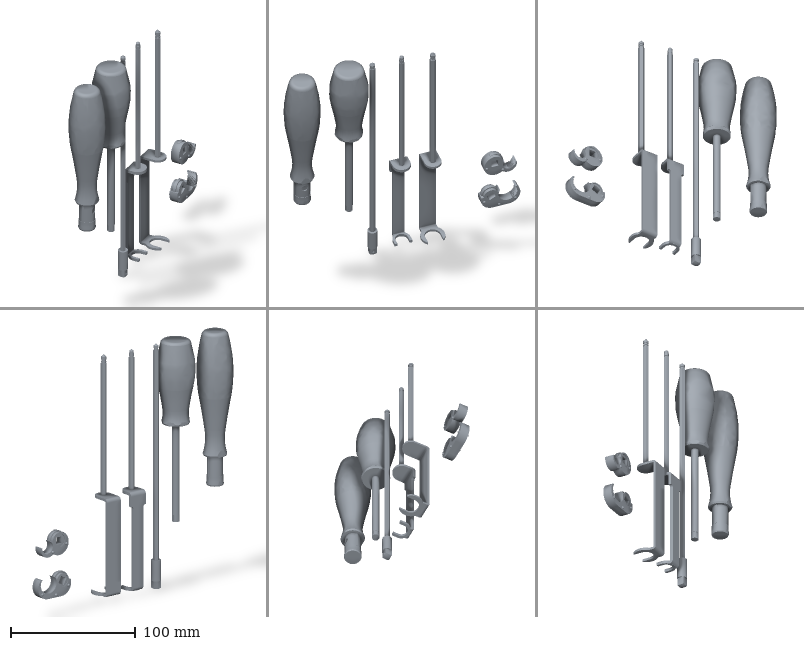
import cadquery as cq
import math

SET_HEIGHT = 205.0

LONG_DRIVER_Y = 0.0
SHORT_DRIVER_Y = 40.0
SQUARE_KEY_Y = 60.0
NARROW_BRACKET_Y = 85.0
WIDE_BRACKET_Y = 110.0

GROOVE_DIAMETER = 3.5
NOSE_TOP_RADIUS = 0.5

HOOK_LEFT_X = -9.0
HOOK_WIDTH = 7.5
HOOK_MID_X = HOOK_LEFT_X + HOOK_WIDTH / 2
SQUARE_HOLE = 6.0
COUNTERBORE_DEPTH = 0.5
STUD_RADIUS = 1.25
STUD_INSET = 0.25
TOOTH_PITCH = 0.6
TOOTH_DEPTH = 0.5
RIB_WIDTH = 2.5


def cylinder(radius, bottom, top):
    return cq.Workplane("XY").workplane(offset=bottom).circle(radius).extrude(top - bottom)


def make_handle(end_radius, rim, belly, shoulder, middle, waist, neck, lip, foot):
    """Revolved handle; every argument after the first is a (radius, height) point of the profile."""
    return (
        cq.Workplane("XZ")
        .moveTo(0, SET_HEIGHT)
        .lineTo(end_radius, SET_HEIGHT)
        .tangentArcPoint(rim, relative=False)
        .threePointArc(belly, shoulder)
        .threePointArc(middle, waist)
        .threePointArc(neck, lip)
        .lineTo(*foot)
        .lineTo(0, foot[1])
        .close()
        .revolve(360, (0, 0, 0), (0, 1, 0))
    )


def cut_side_flats(body, distance, bottom, top, count):
    """Cut equally spaced flats, the first facing -X, at a distance from the axis."""
    reach = 2 * distance
    for index in range(count):
        cutter = (
            cq.Workplane("XY")
            .box(distance, reach, top - bottom, centered=(False, True, False))
            .translate((distance, 0, bottom))
            .rotate((0, 0, 0), (0, 0, 1), 180 + index * 360 / count)
        )
        body = body.cut(cutter)
    return body


LONG_FOOT_Z = 101.0
LONG_FLAT_TOP_Z = 109.0
LONG_FLAT_DISTANCE = 8.75
SHAFT_RADIUS = 6.5
RIB_OUTER_RADIUS = 7.0
SHAFT_RIB_WIDTH = 1.9
RING_TOP_Z = 84.3
RING_BOTTOM_Z = 76.2
RING_RADIUS = 6.8
RING_LIP_RADIUS = 7.1
RING_FLARE_RADIUS = 6.83
RING_FLARE_Z = 80.8
RING_LIP_Z = 77.4
RING_FOOT_RADIUS = 6.6
RING_FLAT_DISTANCE = 6.8
DIMPLE_DIAMETER = 5.5
DIMPLE_Z = 93.9
DIMPLE_DEPTH = 1.0


def make_long_driver():
    handle = make_handle(
        end_radius=7.2,
        rim=(10.7, 202.3),
        belly=(14.845, 172.0),
        shoulder=(13.2, 151.1),
        middle=(10.7, 137.0),
        waist=(8.6, 123.3),
        neck=(7.95, 113.0),
        lip=(9.85, 102.4),
        foot=(9.2, LONG_FOOT_Z),
    )
    handle = cut_side_flats(handle, LONG_FLAT_DISTANCE, LONG_FOOT_Z, LONG_FLAT_TOP_Z, 2)
    shaft = cylinder(SHAFT_RADIUS, RING_TOP_Z, LONG_FOOT_Z)
    dimple = (
        cq.Workplane("YZ")
        .workplane(offset=SHAFT_RADIUS - DIMPLE_DEPTH)
        .center(0, DIMPLE_Z)
        .circle(DIMPLE_DIAMETER / 2)
        .extrude(2 * DIMPLE_DEPTH)
    )
    rib_slab = cq.Workplane("XY").box(SHAFT_RIB_WIDTH, 2 * RIB_OUTER_RADIUS, SET_HEIGHT)
    rib_slab = rib_slab.translate((0, 0, SET_HEIGHT / 2))
    ribs = cylinder(RIB_OUTER_RADIUS, RING_TOP_Z, LONG_FOOT_Z).intersect(rib_slab)
    ring = (
        cq.Workplane("XZ")
        .moveTo(0, RING_TOP_Z)
        .lineTo(RING_RADIUS, RING_TOP_Z)
        .threePointArc((RING_FLARE_RADIUS, RING_FLARE_Z), (RING_LIP_RADIUS, RING_LIP_Z))
        .lineTo(RING_FOOT_RADIUS, RING_BOTTOM_Z)
        .lineTo(0, RING_BOTTOM_Z)
        .close()
        .revolve(360, (0, 0, 0), (0, 1, 0))
    )
    ring = cut_side_flats(ring, RING_FLAT_DISTANCE, RING_BOTTOM_Z, RING_FLARE_Z, 2)
    driver = handle.union(shaft.cut(dimple)).union(ribs).union(ring)
    return driver.translate((0, LONG_DRIVER_Y, 0))


SHORT_FOOT_Z = 135.0
SHORT_FLAT_TOP_Z = 138.3
SHORT_FLAT_DISTANCE = 10.9
BLADE_DIAMETER = 6.2
BLADE_BOTTOM_Z = 53.0
TIP_TOP_Z = 58.6
TIP_DIAMETER = 6.0
TIP_GROOVES = 8
TIP_GROOVE_WIDTH = 0.7
TIP_GROOVE_DEPTH = 0.5
TIP_BAND = 0.9


def make_short_driver():
    handle = make_handle(
        end_radius=9.2,
        rim=(12.25, 203.0),
        belly=(15.925, 181.0),
        shoulder=(14.2, 166.0),
        middle=(12.3, 156.7),
        waist=(10.8, 147.4),
        neck=(10.5, 142.5),
        lip=(11.7, 136.5),
        foot=(10.8, SHORT_FOOT_Z),
    )
    handle = cut_side_flats(handle, SHORT_FLAT_DISTANCE, SHORT_FOOT_Z, SHORT_FLAT_TOP_Z, 6)
    blade = cylinder(BLADE_DIAMETER / 2, TIP_TOP_Z, SHORT_FOOT_Z)
    tip = cylinder(TIP_DIAMETER / 2, BLADE_BOTTOM_Z, TIP_TOP_Z)
    groove_bottom = BLADE_BOTTOM_Z + TIP_BAND
    groove_inner = TIP_DIAMETER / 2 - TIP_GROOVE_DEPTH
    for index in range(TIP_GROOVES):
        groove = (
            cq.Workplane("XY")
            .box(TIP_DIAMETER, TIP_GROOVE_WIDTH, TIP_TOP_Z - groove_bottom, centered=(False, True, False))
            .translate((groove_inner, 0, groove_bottom))
            .rotate((0, 0, 0), (0, 0, 1), (index + 0.5) * 360 / TIP_GROOVES)
        )
        tip = tip.cut(groove)
    return handle.union(blade).union(tip).translate((0, SHORT_DRIVER_Y, 0))


def make_hex_rod(across_flats, bottom, hex_top, collars, cone_base, top):
    """Hexagon below a thin stem that carries round collars, (bottom, top) heights, and a cone."""
    hexagon = (
        cq.Workplane("XY")
        .workplane(offset=bottom)
        .polygon(6, across_flats / math.cos(math.pi / 6))
        .extrude(hex_top - bottom)
    )
    rod = hexagon.union(cylinder(GROOVE_DIAMETER / 2, hex_top, cone_base))
    for collar_bottom, collar_top in collars:
        rod = rod.union(cylinder(across_flats / 2, collar_bottom, collar_top))
    cone = (
        cq.Workplane("XY")
        .workplane(offset=cone_base)
        .circle(GROOVE_DIAMETER / 2)
        .workplane(offset=top - cone_base)
        .circle(NOSE_TOP_RADIUS)
        .loft()
    )
    return rod.union(cone)


KEY_ACROSS_FLATS = 4.3
SLEEVE_DIAMETER = 8.0
SLEEVE_TOP_Z = 24.4
SLEEVE_BOTTOM_Z = 7.2
DRIVE_SIDE = 5.6
DRIVE_DOME_RADIUS = 8.0
DETENT_RADIUS = 1.3
DETENT_OFFSET = 2.1
DETENT_Z = 2.5


def make_square_key():
    rod = make_hex_rod(
        KEY_ACROSS_FLATS, SLEEVE_TOP_Z, hex_top=199.8,
        collars=[(201.7, 203.6)], cone_base=203.6, top=SET_HEIGHT,
    )
    sleeve = cylinder(SLEEVE_DIAMETER / 2, SLEEVE_BOTTOM_Z, SLEEVE_TOP_Z)
    drive = cq.Workplane("XY").rect(DRIVE_SIDE, DRIVE_SIDE).extrude(SLEEVE_BOTTOM_Z)
    dome = cq.Workplane("XZ").sphere(DRIVE_DOME_RADIUS).translate((0, 0, DRIVE_DOME_RADIUS))
    detent = cq.Workplane("YZ").sphere(DETENT_RADIUS).translate((DETENT_OFFSET, 0, DETENT_Z))
    key = rod.union(sleeve).union(drive.intersect(dome)).union(detent)
    return key.translate((0, SQUARE_KEY_Y, 0))


STRAP_LEFT_X = -9.0
FOOT_BOTTOM_Z = 5.1


def make_strap(width, thickness, top_z, bend_radius, tab_round, tab_end):
    """Upright strap with a round-ended tab bent over at the top and a short bent stub at the bottom."""
    height = top_z - FOOT_BOTTOM_Z
    length = tab_end - STRAP_LEFT_X
    bent = (
        cq.Workplane("XY")
        .box(length, width, height, centered=(False, True, False))
        .edges("|Y and <X")
        .fillet(bend_radius)
    )
    inside = (
        cq.Workplane("XY")
        .box(length, width, height - 2 * thickness, centered=(False, True, False))
        .edges("|Y and <X")
        .fillet(bend_radius - thickness)
        .translate((thickness, 0, thickness))
    )
    strap = bent.cut(inside).translate((STRAP_LEFT_X, 0, FOOT_BOTTOM_Z))
    tab_plan = (
        cq.Workplane("XY")
        .box(length - tab_round, width, 2 * SET_HEIGHT, centered=(False, True, True))
        .translate((STRAP_LEFT_X, 0, 0))
        .union(cylinder(tab_round, -SET_HEIGHT, SET_HEIGHT).translate((tab_end - tab_round, 0, 0)))
    )
    return strap.intersect(tab_plan)


def make_u_plan(radius, centre_x, end_x, thickness):
    """Plate with a round back about centre_x and straight sides running to end_x."""
    plate = cylinder(radius, FOOT_BOTTOM_Z, FOOT_BOTTOM_Z + thickness).translate((centre_x, 0, 0))
    sides = (
        cq.Workplane("XY")
        .box(end_x - centre_x, 2 * radius, thickness, centered=(False, True, False))
        .translate((centre_x, 0, FOOT_BOTTOM_Z))
    )
    trim = (
        cq.Workplane("XY")
        .box(2 * radius, 2 * radius, thickness, centered=(False, True, False))
        .translate((end_x, 0, FOOT_BOTTOM_Z))
    )
    return plate.union(sides).cut(trim)


NARROW_HEAD_WIDTH = 15.0
NARROW_STRAP_WIDTH = 10.0
NARROW_THICKNESS = 2.5
NARROW_TOP_Z = 88.0
NARROW_BEND = 3.0
NARROW_TAB_END = 7.1
NARROW_SHOULDER_Z = 76.2
NARROW_SHOULDER_FILLET = 1.8
NARROW_FOOT_END = 4.6
NARROW_OPENING_RADIUS = 10.5 / 2
NARROW_ACROSS_FLATS = 4.0


def make_narrow_bracket():
    strap = make_strap(
        NARROW_HEAD_WIDTH, NARROW_THICKNESS, NARROW_TOP_Z, NARROW_BEND, NARROW_HEAD_WIDTH / 2, NARROW_TAB_END
    )
    half_head = NARROW_HEAD_WIDTH / 2
    half_strap = NARROW_STRAP_WIDTH / 2
    margin = (half_head - half_strap) / 2
    reach = NARROW_TAB_END - STRAP_LEFT_X
    strap_outline = (
        cq.Workplane("YZ")
        .workplane(offset=STRAP_LEFT_X)
        .rect(NARROW_STRAP_WIDTH, 2 * NARROW_SHOULDER_Z)
        .extrude(reach)
    )
    head_outline = (
        cq.Workplane("YZ")
        .workplane(offset=STRAP_LEFT_X)
        .center(0, NARROW_SHOULDER_Z + half_head)
        .rect(NARROW_HEAD_WIDTH, NARROW_HEAD_WIDTH)
        .extrude(reach)
    )
    shoulder_corners = cq.selectors.BoxSelector(
        (STRAP_LEFT_X, -half_strap - margin, NARROW_SHOULDER_Z - margin),
        (NARROW_TAB_END, half_strap + margin, NARROW_SHOULDER_Z + margin),
    )
    outline = strap_outline.union(head_outline)
    outline = outline.edges("|X").edges(shoulder_corners).fillet(NARROW_SHOULDER_FILLET)
    strap = strap.intersect(outline)
    foot = make_u_plan(half_head, 0, NARROW_FOOT_END, NARROW_THICKNESS)
    opening = make_u_plan(NARROW_OPENING_RADIUS, 0, NARROW_TAB_END, NARROW_THICKNESS)
    rod = make_hex_rod(
        NARROW_ACROSS_FLATS, NARROW_TOP_Z, hex_top=198.5,
        collars=[(199.7, 201.9)], cone_base=203.8, top=SET_HEIGHT,
    )
    bracket = strap.union(foot).cut(opening).union(rod)
    return bracket.translate((0, NARROW_BRACKET_Y, 0))


WIDE_WIDTH = 14.0
WIDE_THICKNESS = 2.0
WIDE_TOP_Z = 87.0
WIDE_BEND = 2.7
WIDE_ROD_X = 4.3
WIDE_TAB_END = WIDE_ROD_X + WIDE_WIDTH / 2
WIDE_FOOT_RADIUS = 10.1
WIDE_OPENING_RADIUS = 6.5
WIDE_ACROSS_FLATS = 4.3


def make_wide_bracket():
    strap = make_strap(
        WIDE_WIDTH, WIDE_THICKNESS, WIDE_TOP_Z, WIDE_BEND, WIDE_WIDTH / 2, WIDE_TAB_END
    )
    foot = cylinder(WIDE_FOOT_RADIUS, FOOT_BOTTOM_Z, FOOT_BOTTOM_Z + WIDE_THICKNESS)
    foot = foot.translate((WIDE_ROD_X, 0, 0))
    foot_limit = cq.Workplane("XY").box(2 * WIDE_TAB_END, 2 * SET_HEIGHT, 2 * SET_HEIGHT)
    foot = foot.intersect(foot_limit)
    opening_end = WIDE_ROD_X + WIDE_FOOT_RADIUS
    opening = make_u_plan(WIDE_OPENING_RADIUS, WIDE_ROD_X, opening_end, WIDE_THICKNESS)
    rod = make_hex_rod(
        WIDE_ACROSS_FLATS, WIDE_TOP_Z, hex_top=197.3,
        collars=[(198.3, 198.7), (200.3, 202.5)], cone_base=202.5, top=204.3,
    )
    bracket = strap.union(foot).cut(opening).union(rod.translate((WIDE_ROD_X, 0, 0)))
    return bracket.translate((0, WIDE_BRACKET_Y, 0))


def hook_disc(centre, radius, left_x, width):
    return cq.Workplane("YZ").workplane(offset=left_x).center(*centre).circle(radius).extrude(width)


def hook_block(corner, opposite, left_x=HOOK_LEFT_X, width=HOOK_WIDTH):
    size_y = opposite[0] - corner[0]
    size_z = opposite[1] - corner[1]
    block = cq.Workplane("XY").box(width, size_y, size_z, centered=False)
    return block.translate((left_x, corner[0], corner[1]))


def cut_throat(hook, centre, radius, start_angle, end_angle):
    """Open the round throat, then notch pointed teeth into the jaw between two angles."""
    hook = hook.cut(hook_disc(centre, radius, HOOK_LEFT_X, HOOK_WIDTH))
    arc_length = math.radians(end_angle - start_angle) * radius
    count = round(arc_length / TOOTH_PITCH)
    step = (end_angle - start_angle) / count
    notch_outline = [
        (radius - TOOTH_DEPTH, -TOOTH_PITCH / 2),
        (radius, -TOOTH_PITCH / 2),
        (radius + TOOTH_DEPTH, 0),
        (radius, TOOTH_PITCH / 2),
        (radius - TOOTH_DEPTH, TOOTH_PITCH / 2),
    ]
    for index in range(count):
        notch = (
            cq.Workplane("YZ")
            .workplane(offset=HOOK_LEFT_X)
            .polyline(notch_outline)
            .close()
            .extrude(HOOK_WIDTH)
            .rotate((0, 0, 0), (1, 0, 0), start_angle + (index + 0.5) * step)
            .translate((0, *centre))
        )
        hook = hook.cut(notch)
    return hook


def make_hook(
    head, head_radius, arm, arm_radius, throat, throat_radius, teeth_from, teeth_to, tip_z,
    hole, hole_angle, counterbore, relief_radius, rib_radius, rib_end_y, relief_end, studs, web_bottom,
):
    """Claw in the YZ plane; points are (Y, Z) and the head is relieved around the hole beside the rib."""
    arm_body = hook_disc(arm, arm_radius, HOOK_LEFT_X, HOOK_WIDTH)
    arm_top = arm[1] + arm_radius
    arm_body = arm_body.cut(hook_block((arm[0] - arm_radius, tip_z), (arm[0] + arm_radius, arm_top)))

    head_body = hook_disc(head, head_radius, HOOK_LEFT_X, HOOK_WIDTH)
    head_limit = (head[0] + 2 * head_radius, head[1] + 2 * head_radius)
    relief = hook_block((relief_end, hole[1]), head_limit)
    relief = relief.cut(hook_disc(hole, relief_radius, HOOK_LEFT_X, HOOK_WIDTH))
    rib_left = HOOK_MID_X - RIB_WIDTH / 2
    rib = hook_disc(hole, rib_radius, rib_left, RIB_WIDTH)
    rib = rib.intersect(hook_block((rib_end_y, hole[1]), head_limit))

    hook = head_body.cut(relief).union(rib).union(arm_body)
    if web_bottom is not None:
        hook = hook.union(hook_block((head[0], web_bottom), (arm[0], head[1])))
    hook = cut_throat(hook, throat, throat_radius, teeth_from, teeth_to)

    square_hole = (
        cq.Workplane("YZ")
        .workplane(offset=HOOK_LEFT_X)
        .center(*hole)
        .transformed(rotate=(0, 0, hole_angle))
        .rect(SQUARE_HOLE, SQUARE_HOLE)
        .extrude(HOOK_WIDTH)
    )
    hook = hook.cut(square_hole)
    hook = hook.cut(hook_disc(hole, counterbore / 2, HOOK_LEFT_X, COUNTERBORE_DEPTH))
    for stud_y, stud_z in studs:
        for centre_x in (HOOK_LEFT_X + STUD_INSET, HOOK_LEFT_X + HOOK_WIDTH - STUD_INSET):
            stud = cq.Workplane("YZ").sphere(STUD_RADIUS).translate((centre_x, stud_y, stud_z))
            hook = hook.union(stud)
    return hook


def make_small_hook():
    return make_hook(
        head=(165.8, 59.6), head_radius=9.75,
        arm=(176.8, 57.1), arm_radius=7.3,
        throat=(177.4, 58.4), throat_radius=5.3, teeth_from=-95, teeth_to=0, tip_z=58.5,
        hole=(165.4, 61.9), hole_angle=0, counterbore=10.94,
        relief_radius=6.9, rib_radius=7.7, rib_end_y=162.2, relief_end=165.4,
        studs=[(158.4, 58.2), (172.1, 53.4)], web_bottom=None,
    )


def make_large_hook():
    return make_hook(
        head=(163.5, 25.1), head_radius=10.0,
        arm=(177.0, 25.1), arm_radius=10.0,
        throat=(176.2, 27.4), throat_radius=7.9, teeth_from=-60, teeth_to=32, tip_z=31.9,
        hole=(162.0, 27.8), hole_angle=27, counterbore=10.5,
        relief_radius=6.2, rib_radius=7.3, rib_end_y=153.5, relief_end=153.5,
        studs=[(156.1, 23.0), (182.8, 19.8), (168.8, 17.1)], web_bottom=15.1,
    )


long_driver = make_long_driver()
short_driver = make_short_driver()
square_key = make_square_key()
narrow_bracket = make_narrow_bracket()
wide_bracket = make_wide_bracket()
small_hook = make_small_hook()
large_hook = make_large_hook()

result = cq.Compound.makeCompound([
    long_driver.val(),
    short_driver.val(),
    square_key.val(),
    narrow_bracket.val(),
    wide_bracket.val(),
    small_hook.val(),
    large_hook.val(),
])